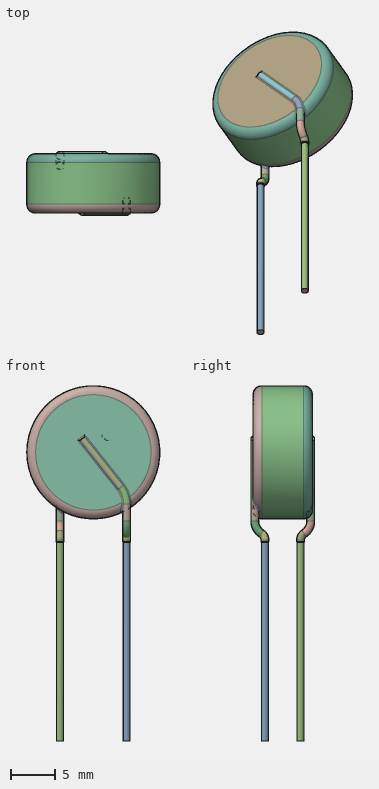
import cadquery as cq
import math

disc_diameter = 15.0
disc_thickness = 6.7
disc_edge_radius = 1.0

wire_diameter = 0.8
coated_diameter = 0.9
lead_offset_x = 3.75
lead_offset_y = 2.0
overall_depth = 7.2
overall_height = 40.0

slant_angle = 38.5
slant_tip_x = -1.25
slant_bend_radius = 3.0
slant_bend_start_z = -5.8
s_bend_top_z = -7.73
s_bend_bottom_z = -9.88
s_bend_upper_share = 0.66
coating_end_z = -10.02
coating_taper_end_z = -10.15
seam_margin = 0.01
blend_radius = 0.2

wire_bottom_z = disc_diameter / 2 - overall_height
coated_y = (overall_depth - coated_diameter) / 2


def polar(centre, radius, angle):
    """Point on a circle, with the angle in degrees from the first axis."""
    turn = math.radians(angle)
    return (centre[0] + radius * math.cos(turn), centre[1] + radius * math.sin(turn))


def make_disc():
    back_face = cq.Workplane("XZ", origin=(0, disc_thickness / 2, 0))
    disc = back_face.circle(disc_diameter / 2).extrude(disc_thickness)
    return disc.edges().fillet(disc_edge_radius)


def make_slanted_run():
    """Coated wire lying on the front face, from the S-bend up to its tip."""
    bend_centre = (lead_offset_x - slant_bend_radius, slant_bend_start_z)
    bend_middle = polar(bend_centre, slant_bend_radius, slant_angle / 2)
    bend_end = polar(bend_centre, slant_bend_radius, slant_angle)
    slant_rise = (bend_end[0] - slant_tip_x) / math.tan(math.radians(slant_angle))
    path = (
        cq.Workplane("XZ", origin=(0, -coated_y, 0))
        .moveTo(lead_offset_x, s_bend_top_z)
        .lineTo(lead_offset_x, slant_bend_start_z)
        .threePointArc(bend_middle, bend_end)
        .lineTo(slant_tip_x, bend_end[1] + slant_rise)
    )
    profile = cq.Workplane("XY", origin=(lead_offset_x, -coated_y, s_bend_top_z))
    return profile.circle(coated_diameter / 2).sweep(path)


def make_s_bend():
    """Coated wire stepping inward by two tangent arcs, then a straight stub."""
    inward_step = coated_y - lead_offset_y
    drop = s_bend_top_z - s_bend_bottom_z
    turn = 2 * math.degrees(math.atan2(inward_step, drop))
    radius_sum = drop / math.sin(math.radians(turn))
    upper_radius = s_bend_upper_share * radius_sum
    lower_radius = radius_sum - upper_radius
    upper_centre = (-coated_y + upper_radius, s_bend_top_z)
    lower_centre = (-lead_offset_y - lower_radius, s_bend_bottom_z)
    path = (
        cq.Workplane("YZ", origin=(lead_offset_x, 0, 0))
        .moveTo(-coated_y, s_bend_top_z)
        .threePointArc(
            polar(upper_centre, upper_radius, 180 + turn / 2),
            polar(upper_centre, upper_radius, 180 + turn),
        )
        .threePointArc(
            polar(lower_centre, lower_radius, turn / 2),
            (-lead_offset_y, s_bend_bottom_z),
        )
        .lineTo(-lead_offset_y, coating_end_z)
    )
    profile = cq.Workplane("XY", origin=(lead_offset_x, -coated_y, s_bend_top_z))
    return profile.circle(coated_diameter / 2).sweep(path)


def make_bare_wire():
    """Straight wire topped by a short cone that meets the coating."""
    wire = (
        cq.Workplane("XY", origin=(lead_offset_x, -lead_offset_y, wire_bottom_z))
        .circle(wire_diameter / 2)
        .extrude(coating_taper_end_z - wire_bottom_z)
    )
    cone = cq.Solid.makeCone(
        wire_diameter / 2,
        coated_diameter / 2,
        coating_end_z - coating_taper_end_z,
        pnt=cq.Vector(lead_offset_x, -lead_offset_y, coating_taper_end_z),
    )
    return wire.union(cq.Workplane(cone))


def add_front_lead(body):
    """Join a lead to the front face and blend the seam; the blend follows tangent edges."""
    lead = make_slanted_run().union(make_s_bend()).union(make_bare_wire())
    face_y = -disc_thickness / 2
    seam_zone = cq.selectors.BoxSelector(
        (-lead_offset_x, face_y - seam_margin, slant_bend_start_z),
        (lead_offset_x + coated_diameter / 2, face_y + seam_margin, disc_diameter / 2),
        boundingbox=True,
    )
    return body.union(lead).edges(seam_zone).fillet(blend_radius)


half_done = add_front_lead(make_disc()).rotate((0, 0, 0), (0, 0, 1), 180)
result = add_front_lead(half_done)